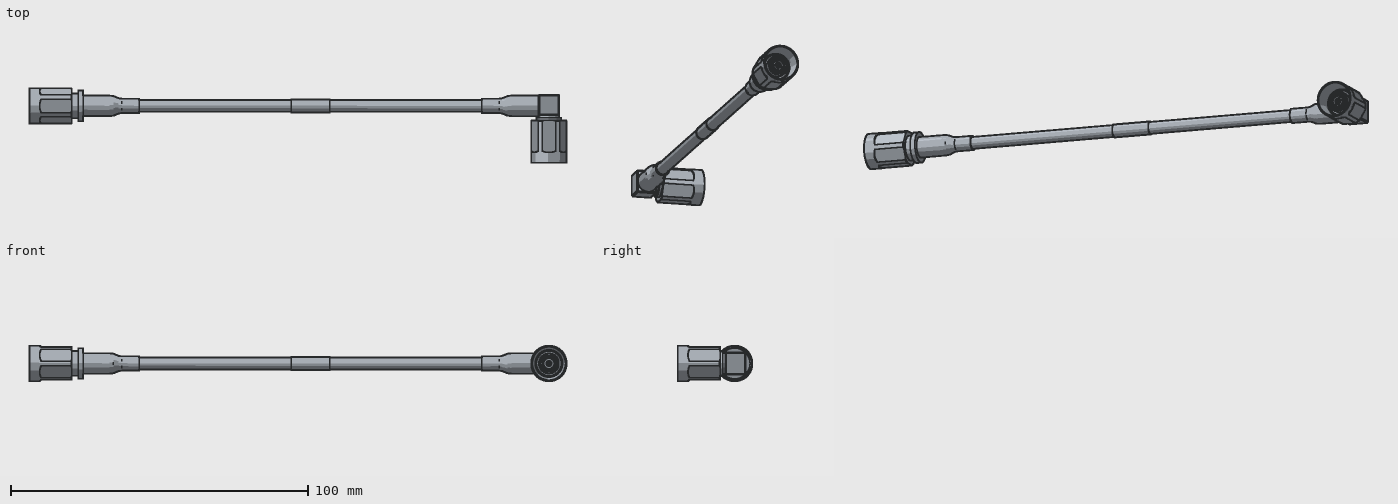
import cadquery as cq
import math

OVERALL_LENGTH = 180.9
ANGLED_REACH = 19.2

NUT_DIAMETER = 12.0
NUT_ACROSS_FLATS = 11.1
NUT_LENGTH = 14.3
NUT_REAR_CHAMFER = 0.2
FLAT_COUNT = 6
FLAT_START = 4.0
FLAT_END_BULGE = 0.5
NUT_MOUTH_RADIUS = 5.6
NUT_BORE_RADIUS = 4.6
NUT_BORE_START = 4.0
NUT_BORE_DEPTH = 6.0
NUT_NECK_RADIUS = 4.2

SOCKET_OUTER_RADIUS = 3.4
SOCKET_INNER_RADIUS = 2.85
SOCKET_FRONT = 3.5
INSULATOR_OUTER_RADIUS = 2.3
INSULATOR_INNER_RADIUS = 1.8
PIN_RADIUS = 0.9
PIN_BORE_RADIUS = 0.4

FLANGE_RADIUS = 5.2
FLANGE_START = 16.4
FLANGE_LENGTH = 1.7
BARREL_RADIUS = 3.5
CRIMP_RADIUS = 3.35
FERRULE_MOUTH_RADIUS = 2.6
FERRULE_RADIUS = 2.45
BARREL_SHOULDER_LENGTH = 1.3
CRIMP_CONE_LENGTH = 1.8
FERRULE_MOUTH_LENGTH = 1.1
FERRULE_LENGTH = 5.8
STRAIGHT_BARREL_END = 27.0
ANGLED_BARREL_END = 162.3

ELBOW_WIDTH = 7.1
ELBOW_HEIGHT = 7.7
ELBOW_BACK = 3.8
ELBOW_FRONT = -3.2
ELBOW_CHAMFER = 0.4
ELBOW_NECK_RADIUS = 3.5
ELBOW_NECK_LENGTH = 0.8

CABLE_RADIUS = 2.05
LABEL_RADIUS = 2.25
LABEL_LENGTH = 13.0

NUT_RADIUS = NUT_DIAMETER / 2
CRIMP_LENGTH = BARREL_SHOULDER_LENGTH + CRIMP_CONE_LENGTH + FERRULE_MOUTH_LENGTH + FERRULE_LENGTH
CABLE_START = STRAIGHT_BARREL_END + CRIMP_LENGTH - FERRULE_LENGTH
CABLE_END = ANGLED_BARREL_END - CRIMP_LENGTH + FERRULE_LENGTH
CABLE_LENGTH = CABLE_END - CABLE_START
CABLE_MIDDLE = (CABLE_START + CABLE_END) / 2
ELBOW_X = OVERALL_LENGTH - NUT_RADIUS


def rod(start, length, radius):
    """A cylinder on the X axis."""
    return cq.Workplane("YZ", origin=(start, 0, 0)).circle(radius).extrude(length)


def tube(start, length, outer_radius, inner_radius):
    """A hollow cylinder on the X axis."""
    return cq.Workplane("YZ", origin=(start, 0, 0)).circle(outer_radius).circle(inner_radius).extrude(length)


def to_angled_end(shape):
    """Turn a shape that opens toward -X at the origin into the place of the angled plug."""
    return shape.rotate((0, 0, 0), (0, 0, 1), 90).translate((ELBOW_X, -ANGLED_REACH, 0))


def make_flat_cutter():
    """Removes everything above one flat, with a rounded end toward the collar."""
    half_flat = math.sqrt(NUT_RADIUS**2 - (NUT_ACROSS_FLATS / 2) ** 2)
    return (
        cq.Workplane("XY", origin=(0, 0, NUT_ACROSS_FLATS / 2))
        .moveTo(NUT_LENGTH, -half_flat)
        .lineTo(FLAT_START, -half_flat)
        .threePointArc((FLAT_START - FLAT_END_BULGE, 0), (FLAT_START, half_flat))
        .lineTo(NUT_LENGTH, half_flat)
        .close()
        .extrude(NUT_RADIUS)
    )


def make_nut():
    """Coupling nut on the X axis with its mouth at X = 0."""
    nut = rod(0, NUT_LENGTH, NUT_RADIUS).faces(">X").chamfer(NUT_REAR_CHAMFER)
    cutter = make_flat_cutter()
    for i in range(FLAT_COUNT):
        nut = nut.cut(cutter.rotate((0, 0, 0), (1, 0, 0), i * 360 / FLAT_COUNT))
    mouth = (
        cq.Workplane("XY")
        .polyline(
            [
                (0, 0),
                (0, NUT_MOUTH_RADIUS),
                (NUT_BORE_START, NUT_BORE_RADIUS),
                (NUT_BORE_DEPTH, NUT_BORE_RADIUS),
                (NUT_BORE_DEPTH, 0),
            ]
        )
        .close()
        .revolve(360, (0, 0, 0), (1, 0, 0))
    )
    nut = nut.cut(mouth)
    return nut.cut(rod(0, NUT_LENGTH, NUT_NECK_RADIUS))


def make_plug_front(end):
    """Neck filling the nut, with the coaxial contacts at its front, ending at X = end."""
    contact_length = NUT_BORE_DEPTH - SOCKET_FRONT
    front = rod(NUT_BORE_DEPTH, end - NUT_BORE_DEPTH, NUT_NECK_RADIUS)
    front = front.union(tube(SOCKET_FRONT, contact_length, SOCKET_OUTER_RADIUS, SOCKET_INNER_RADIUS))
    front = front.union(tube(SOCKET_FRONT, contact_length, INSULATOR_OUTER_RADIUS, INSULATOR_INNER_RADIUS))
    return front.union(tube(SOCKET_FRONT, contact_length, PIN_RADIUS, PIN_BORE_RADIUS))


def make_barrel(length):
    """Barrel and crimp ferrule along +X from X = 0, bored at its far end for the cable."""
    shoulder_end = length + BARREL_SHOULDER_LENGTH
    cone_end = shoulder_end + CRIMP_CONE_LENGTH
    mouth_end = cone_end + FERRULE_MOUTH_LENGTH
    ferrule_end = mouth_end + FERRULE_LENGTH
    barrel = (
        cq.Workplane("XY")
        .polyline(
            [
                (0, 0),
                (0, BARREL_RADIUS),
                (length, BARREL_RADIUS),
                (shoulder_end, CRIMP_RADIUS),
                (cone_end, FERRULE_MOUTH_RADIUS),
                (mouth_end, FERRULE_RADIUS),
                (ferrule_end, FERRULE_RADIUS),
                (ferrule_end, 0),
            ]
        )
        .close()
        .revolve(360, (0, 0, 0), (1, 0, 0))
    )
    return barrel.cut(rod(mouth_end, FERRULE_LENGTH, CABLE_RADIUS))


def make_straight_plug():
    flange_end = FLANGE_START + FLANGE_LENGTH
    barrel = make_barrel(STRAIGHT_BARREL_END - flange_end).translate((flange_end, 0, 0))
    flange = rod(FLANGE_START, FLANGE_LENGTH, FLANGE_RADIUS)
    return make_plug_front(FLANGE_START).union(flange).union(barrel)


def make_angled_plug():
    elbow_depth = ELBOW_BACK - ELBOW_FRONT
    elbow = (
        cq.Workplane("XY", origin=(ELBOW_X, (ELBOW_BACK + ELBOW_FRONT) / 2, 0))
        .box(ELBOW_WIDTH, elbow_depth, ELBOW_HEIGHT)
        .edges()
        .chamfer(ELBOW_CHAMFER)
    )
    neck_end = ANGLED_REACH + ELBOW_FRONT - ELBOW_NECK_LENGTH
    front = make_plug_front(neck_end).union(rod(neck_end, ELBOW_NECK_LENGTH, ELBOW_NECK_RADIUS))
    elbow_side = ELBOW_X - ELBOW_WIDTH / 2
    barrel = make_barrel(elbow_side - ANGLED_BARREL_END).rotate((0, 0, 0), (0, 0, 1), 180)
    return elbow.union(to_angled_end(front)).union(barrel.translate((elbow_side, 0, 0)))


straight_nut = make_nut()
angled_nut = to_angled_end(make_nut())
straight_plug = make_straight_plug()
angled_plug = make_angled_plug()
cable = rod(CABLE_START, CABLE_LENGTH, CABLE_RADIUS)
label = tube(CABLE_MIDDLE - LABEL_LENGTH / 2, LABEL_LENGTH, LABEL_RADIUS, CABLE_RADIUS)

result = cq.Compound.makeCompound(
    [
        straight_nut.val(),
        straight_plug.val(),
        cable.val(),
        label.val(),
        angled_plug.val(),
        angled_nut.val(),
    ]
)